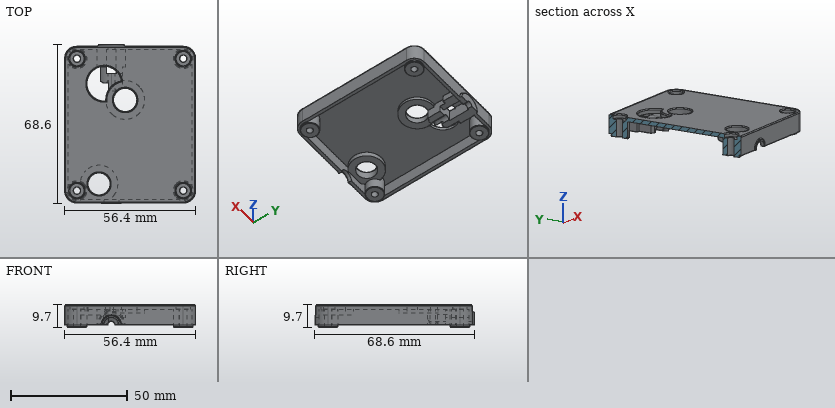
import cadquery as cq
import math

width = 56.4
length = 67.45
corner_radius = 5.35
foot_height = 1.0
body_height = 8.7
top_z = foot_height + body_height
edge_chamfer = 0.5

side_wall = 1.5
plate_thickness = 2.1
plate_underside = top_z - plate_thickness

screw_spacing_x = width - 2 * corner_radius
screw_spacing_y = length - 2 * corner_radius
screw_hole_diameter = 3.0
counterbore_diameter = 6.2
counterbore_depth = 1.8
foot_diameter = 8.5
foot_chamfer = 0.3

large_window_center = (-11.1, 17.6)
large_window_radius = 7.5
tube_center = (-2.1, 10.6)
tube_bore_radius = 5.0
tube_outer_radius = 8.35
tube_depth = 3.6
front_window_center = (-13.4, -25.5)
front_window_radius = 4.7
front_tube_radius = front_window_radius + tube_outer_radius - tube_bore_radius
front_tube_depth = 4.5

cable_x = -8.1
cable_radius = 1.5
flare_radius = 1.2
front_opening_radius = 3.2
rear_boss_radius = 5.9
rear_boss_height = 0.8
front_boss_radius = 4.4
front_boss_height = 0.3
boss_taper = 0.5

block_half_width = 4.7
block_end_y = 17.8
block_corner_x = 1.4
block_corner_y = 0.9
rib_offset = 1.2
rib_left_x = cable_x - rib_offset
rib_end_y = 14.5
tie_slot_width = 4.1
tie_slot_front_y = 22.1
tie_passage_height = 3.15
shoulder_y = 24.8
shoulder_step = 1.45


def disc(center, radius, bottom, top):
    """Upright cylinder between two heights."""
    return cq.Workplane("XY", origin=(*center, bottom)).circle(radius).extrude(top - bottom)


def countersink(center, radius):
    """Cone that breaks the top edge of a round opening by the edge chamfer."""
    cone = cq.Solid.makeCone(
        radius, radius + edge_chamfer, edge_chamfer, cq.Vector(*center, top_z - edge_chamfer)
    )
    return cq.Workplane(obj=cone)


def slab(x_range, y_range, top):
    """Rectangular block standing on the plane of the open underside."""
    left, right = x_range
    front, rear = y_range
    return cq.Workplane("XY", origin=(left, front, foot_height)).box(
        right - left, rear - front, top - foot_height, centered=False
    )


def along_cable(start_radius, end_radius, start_y, end_y):
    """Cone or cylinder around the cable axis, from start_y to end_y."""
    axis = cq.Vector(0, 1 if end_y > start_y else -1, 0)
    base = cq.Vector(cable_x, start_y, foot_height)
    span = abs(end_y - start_y)
    if start_radius == end_radius:
        return cq.Workplane(obj=cq.Solid.makeCylinder(start_radius, span, base, axis))
    return cq.Workplane(obj=cq.Solid.makeCone(start_radius, end_radius, span, base, axis))


def make_shell():
    """Rounded box with a chamfered top edge, hollowed from below."""
    outside = (
        cq.Workplane("XY", origin=(0, 0, foot_height))
        .rect(width, length)
        .extrude(body_height)
        .edges("|Z")
        .fillet(corner_radius)
        .faces(">Z")
        .chamfer(edge_chamfer)
    )
    cavity = (
        cq.Workplane("XY", origin=(0, 0, foot_height))
        .rect(width - 2 * side_wall, length - 2 * side_wall)
        .extrude(body_height - plate_thickness)
        .edges("|Z")
        .fillet(corner_radius - side_wall)
    )
    return outside.cut(cavity)


def make_corner_posts():
    """Screw posts that reach below the shell as chamfered feet."""
    return (
        cq.Workplane("XY")
        .rect(screw_spacing_x, screw_spacing_y, forConstruction=True)
        .vertices()
        .circle(foot_diameter / 2)
        .extrude(plate_underside)
        .faces("<Z")
        .chamfer(foot_chamfer)
    )


def make_cable_block():
    """Block with a corner cut and a rib, rounded over on its left about the cable axis."""
    left = cable_x - block_half_width
    right = cable_x + block_half_width
    wall_inside_y = length / 2 - side_wall
    block = (
        cq.Workplane("XY", origin=(0, 0, foot_height))
        .moveTo(left, wall_inside_y)
        .lineTo(left, block_end_y + block_corner_y)
        .lineTo(left + block_corner_x, block_end_y)
        .lineTo(rib_left_x, block_end_y)
        .lineTo(rib_left_x, rib_end_y)
        .lineTo(right, rib_end_y)
        .lineTo(right, wall_inside_y)
        .close()
        .extrude(plate_underside - foot_height)
    )
    crown_radius = plate_underside - foot_height
    crown = along_cable(crown_radius, crown_radius, 0, wall_inside_y)
    flat_side = slab((cable_x, right), (0, wall_inside_y), plate_underside)
    block = block.intersect(crown.union(flat_side))

    shoulder_x = (left - shoulder_step, right + shoulder_step)
    block = block.union(slab(shoulder_x, (shoulder_y, wall_inside_y), plate_underside))

    slot_left = cable_x - tie_slot_width / 2
    slot_right = cable_x + tie_slot_width / 2
    slot_y = (tie_slot_front_y, wall_inside_y)
    block = block.cut(slab((slot_left, slot_right), slot_y, plate_underside))
    block = block.cut(slab((slot_left, shoulder_x[1]), slot_y, foot_height + tie_passage_height))

    left_of_rib = slab((left, rib_left_x), (0, wall_inside_y), plate_underside)
    return block.cut(make_flare(rib_end_y)).cut(make_flare(block_end_y).intersect(left_of_rib))


def make_large_window():
    """Round opening with a bite left standing for the tube, chamfered at the top."""
    bite = disc(tube_center, tube_outer_radius, 0, top_z)
    bite_top = cq.Workplane(
        obj=cq.Solid.makeCone(
            tube_outer_radius,
            tube_outer_radius - edge_chamfer,
            edge_chamfer,
            cq.Vector(*tube_center, top_z - edge_chamfer),
        )
    )
    opening = disc(large_window_center, large_window_radius, plate_underside, top_z).cut(bite)
    rim = countersink(large_window_center, large_window_radius).cut(bite_top)
    return opening.union(rim)


def make_cable_bosses():
    """Tapered collars on the outside of the rear and front walls, cut off at the underside."""
    rear_face = length / 2
    front_face = -length / 2
    rear = along_cable(
        rear_boss_radius, rear_boss_radius - boss_taper, rear_face, rear_face + rear_boss_height
    )
    front = along_cable(
        front_boss_radius, front_boss_radius - boss_taper, front_face, front_face - front_boss_height
    )
    upper_half = slab((-width / 2, width / 2), (-length, length), top_z)
    return rear.union(front).intersect(upper_half)


def make_cable_passage():
    """Straight bore along the cable, opening out where it passes the front wall."""
    front_end = -length / 2 - front_boss_height
    bore = along_cable(cable_radius, cable_radius, front_end, length / 2 + rear_boss_height)
    wall_inside_y = -length / 2 + side_wall
    front_opening = along_cable(front_opening_radius, front_opening_radius, front_end, wall_inside_y)
    return bore.union(front_opening)


def make_flare(mouth_y):
    """Trumpet-shaped mouth of the bore, its rounded lip lying in the plane y = mouth_y."""
    mouth_radius = cable_radius + flare_radius
    lip_bend = flare_radius * (1 - math.sqrt(0.5))
    return (
        cq.Workplane("XY", origin=(cable_x, mouth_y, foot_height))
        .lineTo(mouth_radius, 0)
        .threePointArc((cable_radius + lip_bend, lip_bend), (cable_radius, flare_radius))
        .lineTo(0, flare_radius)
        .close()
        .revolve(360, (0, 0), (0, 1))
    )


body = make_shell().union(make_corner_posts()).union(make_cable_bosses())
body = body.cut(make_large_window())
body = body.union(make_cable_block())
body = body.union(disc(tube_center, tube_outer_radius, top_z - tube_depth, plate_underside))
body = body.union(disc(front_window_center, front_tube_radius, top_z - front_tube_depth, plate_underside))

for window_center, window_radius in (
    (tube_center, tube_bore_radius),
    (front_window_center, front_window_radius),
):
    body = body.cut(disc(window_center, window_radius, 0, top_z))
    body = body.cut(countersink(window_center, window_radius))

for side_x in (-1, 1):
    for side_y in (-1, 1):
        screw_center = (side_x * screw_spacing_x / 2, side_y * screw_spacing_y / 2)
        body = body.cut(disc(screw_center, screw_hole_diameter / 2, 0, top_z))
        body = body.cut(disc(screw_center, counterbore_diameter / 2, top_z - counterbore_depth, top_z))
        body = body.cut(countersink(screw_center, counterbore_diameter / 2))

result = body.cut(make_cable_passage())